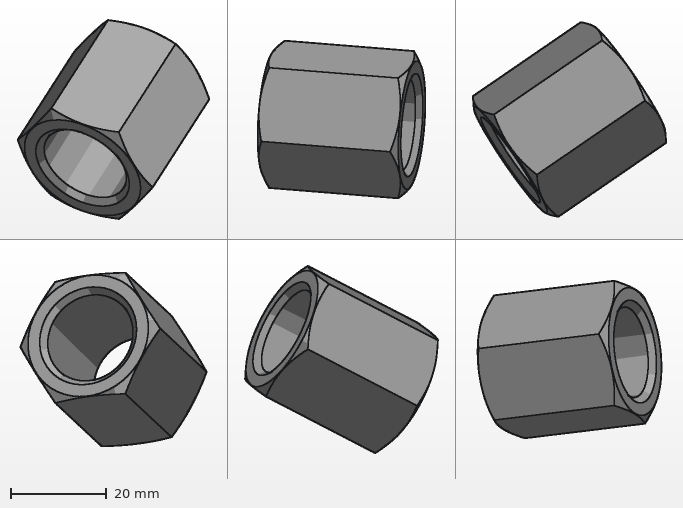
import cadquery as cq
import math

across_corners = 31.18
length = 30.0
bore_diameter = 19.0
countersink_diameter = 21.58
end_face_diameter = 26.8
corner_chamfer_angle = 30.0

corner_radius = across_corners / 2
half_length = length / 2
end_face_radius = end_face_diameter / 2
corner_drop = (corner_radius - end_face_radius) * math.tan(math.radians(corner_chamfer_angle))
countersink_depth = (countersink_diameter - bore_diameter) / 2


def revolve_about_y(points):
    """Revolve a closed (radius, y) outline about the Y axis."""
    return cq.Workplane("XY").polyline(points).close().revolve(360, (0, 0, 0), (0, 1, 0))


def hexagonal_bar():
    return cq.Workplane("XZ").polygon(6, across_corners).extrude(half_length, both=True)


def chamfer_envelope():
    """Round body with coned ends that trims the corners of the hexagon."""
    return revolve_about_y([
        (0, -half_length),
        (end_face_radius, -half_length),
        (corner_radius, -half_length + corner_drop),
        (corner_radius, half_length - corner_drop),
        (end_face_radius, half_length),
        (0, half_length),
    ])


def countersunk_bore():
    """Through bore flared at both ends."""
    bore_radius = bore_diameter / 2
    countersink_radius = countersink_diameter / 2
    return revolve_about_y([
        (0, -half_length),
        (countersink_radius, -half_length),
        (bore_radius, -half_length + countersink_depth),
        (bore_radius, half_length - countersink_depth),
        (countersink_radius, half_length),
        (0, half_length),
    ])


result = hexagonal_bar().intersect(chamfer_envelope()).cut(countersunk_bore())